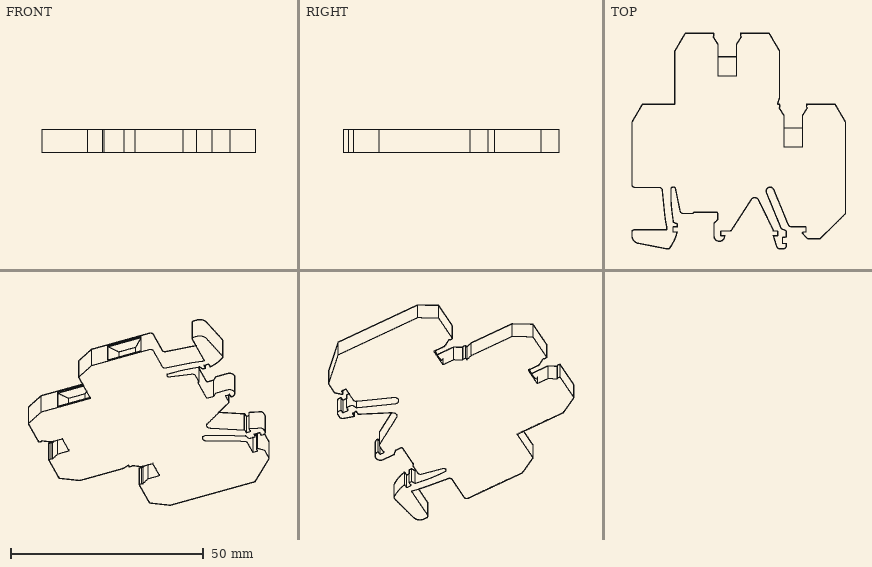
import cadquery as cq
import math

width = 55.5
height = 56.0
thickness = 6.0

tower_width = 27.25
level_drop = 18.45
top_chamfer_x = 2.75
top_chamfer_y = 4.7
tower_left = 11.13
tower_right = tower_left + tower_width
upper_slot_x = tower_left + tower_width / 2
lower_slot_x = width - tower_width / 2
lower_top = height - level_drop

slot_half_width = 2.38
slot_depth = 11.1
cradle_length = 4.95
trough_axis_z = thickness / 2

entry_length = 9.25
entry_height = 5.2
entry_floor_length = 4.65
entry_floor_height = 3.3
entry_lip_depth = 0.4
entry_depth = 2.1
entry_drop = 9.2
entry_floor_shift = 0.2

shoulder_y = 15.92
slit_top = 16.0
rail_y = 9.5
rail_lip_y = 9.15
claw_top = 5.73
claw_bottom = 4.41
catch_top = 4.64
catch_bottom = 3.47
foot_bottom = 0.0


def toward(start, end, distance):
    """Point at a distance from start on the line to end."""
    ratio = distance / math.dist(start, end)
    return (start[0] + ratio * (end[0] - start[0]), start[1] + ratio * (end[1] - start[1]))


def rounded_outline(corners):
    """Closed wire through (x, y) sharp corners and (x, y, radius) rounded corners."""
    points = [corner[:2] for corner in corners]
    shortest_line = 1e-5
    edges = []
    joints = []
    for i, corner in enumerate(corners):
        point = points[i]
        before = points[i - 1]
        after = points[(i + 1) % len(points)]
        if len(corner) == 2:
            joints.append((point, point))
            continue
        radius = corner[2]
        heading_in = math.atan2(point[1] - before[1], point[0] - before[0])
        heading_out = math.atan2(after[1] - point[1], after[0] - point[0])
        turn = abs(math.remainder(heading_out - heading_in, 2 * math.pi))
        tangent_length = radius * math.tan(turn / 2)
        start = toward(point, before, tangent_length)
        end = toward(point, after, tangent_length)
        chord_middle = ((start[0] + end[0]) / 2, (start[1] + end[1]) / 2)
        arc_middle = toward(point, chord_middle, radius / math.cos(turn / 2) - radius)
        arc = (start, arc_middle, end)
        edges.append(cq.Edge.makeThreePointArc(*[cq.Vector(*p) for p in arc]))
        joints.append((start, end))
    for i, (start, _) in enumerate(joints):
        previous_end = joints[i - 1][1]
        if math.dist(previous_end, start) > shortest_line:
            edges.append(cq.Edge.makeLine(cq.Vector(*previous_end), cq.Vector(*start)))
    return cq.Wire.combine(edges)[0]


def release_foot():
    """Flexible leg with a wide foot, and the slit that frees it from the body."""
    leg_top_left = 7.8
    leg_bottom_left = 9.07
    leg_right = 10.2
    leg_bend_radius = 30.0
    claw_x = 11.8
    groove_x = 10.72
    foot_top = 4.97
    slit_top_right = 11.22
    slit_end_radius = 0.45
    return [
        (0, shoulder_y, 0.8),
        (leg_top_left, shoulder_y, 0.7),
        (8.66, 7.4, leg_bend_radius),
        (leg_bottom_left, 5.55),
        (leg_bottom_left, foot_top),
        (0, foot_top, 0.6),
        (0, 1.75, 2.1),
        (9.0, foot_bottom, 0.6),
        (9.7, foot_bottom, 0.3),
        (11.35, 2.45, 10.0),
        (claw_x, claw_bottom),
        (groove_x, claw_bottom),
        (groove_x, claw_top),
        (claw_x, claw_top),
        (claw_x, 6.5),
        (10.82, 6.95),
        (leg_right, 11.5, leg_bend_radius),
        (leg_right, slit_top, slit_end_radius),
        (slit_top_right, slit_top, slit_end_radius),
        (12.64, rail_lip_y, 0.9),
    ]


def centre_catch():
    """Rail face, the fixed hook in the middle and the rounded top of the gap after it."""
    rail_stop_x = 22.24
    hook_left = 21.3
    hook_radius = 1.41
    hook_bottom = 1.95
    hook_right = hook_left + 2 * hook_radius
    groove_x = 23.14
    return [
        (15.8, rail_lip_y),
        (16.15, rail_y),
        (rail_stop_x, rail_y, 0.3),
        (rail_stop_x, 7.6),
        (hook_left, 6.65, 0.3),
        (hook_left, hook_bottom, hook_radius),
        (hook_right, hook_bottom, hook_radius),
        (hook_right, catch_bottom),
        (groove_x, catch_bottom),
        (groove_x, catch_top),
        (25.75, catch_top, 0.5),
        (32.02, 14.34, 1.03),
    ]


def spring_leg():
    """Slanted leg notched on both sides, and the round-ended slit beside it."""
    leg_left = 36.69
    left_groove_x = 37.82
    leg_right = 40.11
    right_groove_x = 39.13
    slit_radius = 1.0
    slit_lean = math.radians(22.3)
    slit_end = (35.88, slit_top - slit_radius)
    along = (-math.sin(slit_lean), math.cos(slit_lean))
    across = (along[1], -along[0])
    tip = [
        (
            slit_end[0] + slit_radius * (along[0] + side * across[0]),
            slit_end[1] + slit_radius * (along[1] + side * across[1]),
            slit_radius,
        )
        for side in (-1, 1)
    ]
    return [
        (leg_left, 4.88),
        (leg_left, catch_top),
        (left_groove_x, catch_top),
        (left_groove_x, catch_bottom),
        (leg_left, catch_bottom),
        (37.75, foot_bottom, 0.95),
        (leg_right, foot_bottom, 0.8),
        (leg_right, 1.4),
        (right_groove_x, 1.4),
        (right_groove_x, 2.95),
        (leg_right, 3.05),
        (leg_right, 4.75, 0.6),
        (38.8, 5.25),
        *tip,
    ]


def fixed_nose():
    """Rigid claw under the lower level and the slanted corner beside it."""
    groove_x = 45.19
    nose_bottom = 2.6
    return [
        (40.78, claw_top, 0.9),
        (groove_x, claw_top),
        (groove_x, claw_bottom),
        (44.4, claw_bottom),
        (44.2, 4.1),
        (45.6, nose_bottom, 0.7),
        (48.85, nose_bottom),
        (width, 9.2),
    ]


def screw_slot(center_x, top):
    """Slot walked from its right lip to its left lip."""
    half_profile = [
        (3.5, 0),
        (3.42, 0.7),
        (3.6, 1.0),
        (slot_half_width, 2.95),
        (slot_half_width, slot_depth),
    ]
    right = [(center_x + x, top - depth) for x, depth in half_profile]
    left = [(center_x - x, top - depth) for x, depth in reversed(half_profile)]
    return right + left


def terminal_levels():
    """Upper boundary from the right wall over both levels to the left wall."""
    undercut_x = 37.8
    undercut_top = 39.2
    return [
        (width, lower_top - top_chamfer_y),
        (width - top_chamfer_x, lower_top),
        *screw_slot(lower_slot_x, lower_top),
        (undercut_x, lower_top),
        (tower_right, undercut_top),
        (tower_right, height - top_chamfer_y),
        (tower_right - top_chamfer_x, height),
        *screw_slot(upper_slot_x, height),
        (tower_left + top_chamfer_x, height),
        (tower_left, height - top_chamfer_y),
        (tower_left, lower_top),
        (top_chamfer_x, lower_top),
        (0, lower_top - top_chamfer_y),
    ]


def housing():
    corners = release_foot() + centre_catch() + spring_leg() + fixed_nose() + terminal_levels()
    face = cq.Face.makeFromWires(rounded_outline(corners))
    return cq.Workplane(cq.Solid.extrudeLinear(face, cq.Vector(0, 0, thickness)))


def screw_cradle(center_x, top):
    """Slot floor block with a half-round trough along Y, open upwards and towards +Y."""
    floor_y = top - slot_depth
    block = cq.Solid.makeBox(
        2 * slot_half_width,
        cradle_length,
        trough_axis_z,
        cq.Vector(center_x - slot_half_width, floor_y, 0),
    )
    trough = cq.Solid.makeCylinder(
        slot_half_width,
        cradle_length,
        cq.Vector(center_x, floor_y, trough_axis_z),
        cq.Vector(0, 1, 0),
    )
    return cq.Workplane(block).cut(cq.Workplane(trough))


def wire_entry(wall_x, top):
    """Rectangular lip followed by a funnel that narrows along +X."""
    center_y = top - entry_drop - entry_length / 2
    mouth = cq.Workplane("YZ", origin=(wall_x, center_y, thickness / 2))
    lip = mouth.rect(entry_length, entry_height).extrude(entry_lip_depth)
    funnel = (
        mouth.workplane(offset=entry_lip_depth)
        .rect(entry_length, entry_height)
        .workplane(offset=entry_depth - entry_lip_depth)
        .center(0, -entry_floor_shift)
        .rect(entry_floor_length, entry_floor_height)
        .loft(ruled=True)
    )
    return lip.union(funnel)


body = housing()
for slot_x, level_top in ((upper_slot_x, height), (lower_slot_x, lower_top)):
    body = body.union(screw_cradle(slot_x, level_top))
for entry_wall_x, level_top in ((tower_left, height), (0, lower_top)):
    body = body.cut(wire_entry(entry_wall_x, level_top))

result = body